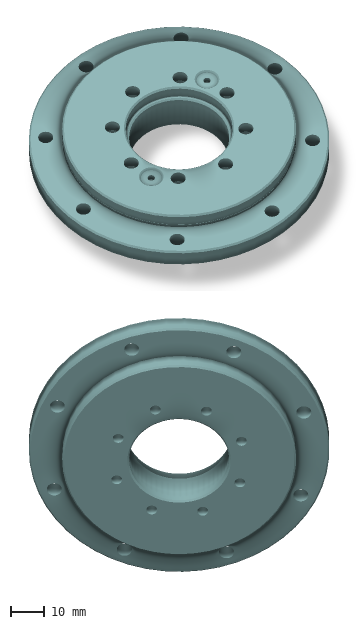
import cadquery as cq
import math

flange_diameter = 90.0
total_height = 16.0
edge_chamfer = 0.5

hole_count = 8
hole_angles = [index * 360 / hole_count for index in range(hole_count)]

flange_thickness = 6.0
rim_diameter = 70.0
flange_hole_diameter = 4.5
flange_hole_circle_radius = 40.0

base_plate_thickness = total_height / 4
hub_diameter = 49.5
cover_gap = 0.1
base_bore_diameter = 30.0
cover_bore_diameter = 32.0
inner_hole_circle_radius = 20.0
clearance_hole_diameter = 4.5
tapped_hole_diameter = 3.2

seat_circle_radius = 21.1
seat_top_diameter = 7.4
seat_floor_diameter = 6.2
seat_depth = (seat_top_diameter - seat_floor_diameter) / 2
socket_diameter = 2.2
socket_depth = 1.8
seat_angles = [112.5, 292.5]

bottom_z = -total_height / 2
top_z = total_height / 2
ring_bottom_z = bottom_z + base_plate_thickness
ring_top_z = -ring_bottom_z
cover_bottom_z = ring_top_z + cover_gap


def disc(diameter, z_bottom, z_top):
    """Solid disc about the Z axis between two heights."""
    return cq.Workplane("XY").workplane(offset=z_bottom).circle(diameter / 2).extrude(z_top - z_bottom)


def cone_cutter(bottom_diameter, top_diameter, z_top):
    """45 degree cone about the Z axis that widens upward to z_top."""
    bottom_radius = bottom_diameter / 2
    top_radius = top_diameter / 2
    height = top_radius - bottom_radius
    axis_point = cq.Vector(0, 0, z_top - height)
    return cq.Workplane(cq.Solid.makeCone(bottom_radius, top_radius, height, pnt=axis_point))


def cut_around_circle(body, cutter, circle_radius, angles):
    """Cut a cutter from the body at each angle (degrees) on a circle about Z."""
    for angle in angles:
        x = circle_radius * math.cos(math.radians(angle))
        y = circle_radius * math.sin(math.radians(angle))
        body = body.cut(cutter.translate((x, y, 0)))
    return body


def make_outer_ring():
    """Flanged ring held between the base and the cover."""
    flange = disc(flange_diameter, -flange_thickness / 2, flange_thickness / 2)
    flange = flange.edges().chamfer(edge_chamfer)
    ring = flange.union(disc(rim_diameter, ring_bottom_z, ring_top_z))
    ring = ring.cut(disc(hub_diameter, ring_bottom_z, ring_top_z))
    flange_hole = disc(flange_hole_diameter, -flange_thickness / 2, flange_thickness / 2)
    return cut_around_circle(ring, flange_hole, flange_hole_circle_radius, hole_angles)


def make_base():
    """Lower plate with a hub that fills the outer ring's bore."""
    plate = disc(rim_diameter, bottom_z, ring_bottom_z).faces("<Z").edges().chamfer(edge_chamfer)
    base = plate.union(disc(hub_diameter, ring_bottom_z, ring_top_z))

    base = base.cut(disc(base_bore_diameter, bottom_z, ring_top_z))
    smallest_circles = cq.selectors.RadiusNthSelector(0)
    base = base.edges("%CIRCLE").edges(smallest_circles).chamfer(edge_chamfer)

    tapped_hole = disc(tapped_hole_diameter, bottom_z, ring_top_z)
    countersink = cone_cutter(tapped_hole_diameter, clearance_hole_diameter, ring_top_z)
    return cut_around_circle(base, tapped_hole.union(countersink), inner_hole_circle_radius, hole_angles)


def make_cover():
    """Upper plate, just clear of the ring and hub, with clearance holes and two recessed screw seats."""
    cover = disc(rim_diameter, cover_bottom_z, top_z).cut(disc(cover_bore_diameter, cover_bottom_z, top_z))
    cover = cover.faces(">Z").edges().chamfer(edge_chamfer)

    clearance_hole = disc(clearance_hole_diameter, cover_bottom_z, top_z)
    cover = cut_around_circle(cover, clearance_hole, inner_hole_circle_radius, hole_angles)

    seat_floor_z = top_z - seat_depth
    socket = disc(socket_diameter, seat_floor_z - socket_depth, seat_floor_z)
    seat = cone_cutter(seat_floor_diameter, seat_top_diameter, top_z).union(socket)
    return cut_around_circle(cover, seat, seat_circle_radius, seat_angles)


outer_ring = make_outer_ring()
base = make_base()
cover = make_cover()

result = cq.Compound.makeCompound([outer_ring.val(), base.val(), cover.val()])